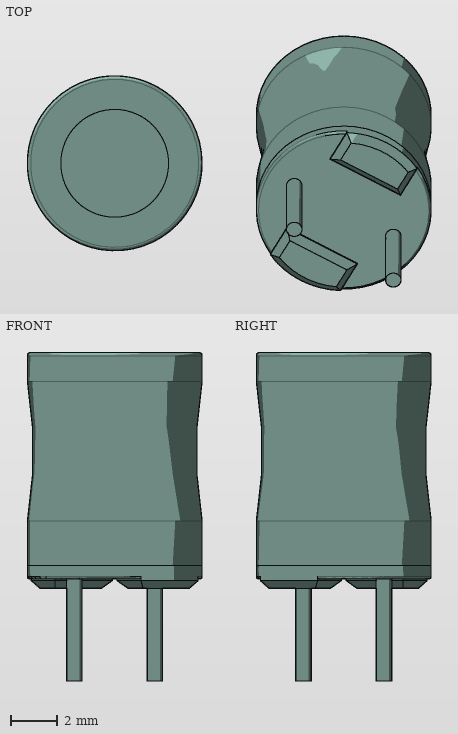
import cadquery as cq
import math


outer_radius = 7.53 / 2
body_height = 10.15
pin_length = 4.0

base_height = 0.98
foot_height = 0.4
disc_fillet = 0.1
foot_width = 3.48
foot_inner_offset = 1.88
foot_chamfer = 0.33
foot_angles = (-45, 135)

pin_radius = 0.335
pin_spacing = 4.9
pin_angles = (45, 225)

sleeve_wall = 0.2
top_band = 1.25
waist_height = 6.0
waist_depth = 0.25
sleeve_fillet = 0.15
window_radius = 2.32

waist_top = body_height - top_band
waist_bottom = waist_top - waist_height
waist_middle = (waist_top + waist_bottom) / 2


def waisted_cylinder(radius, top):
    """Round body from the base up to `top`, drawn in at the waist."""
    return (
        cq.Workplane("XZ")
        .moveTo(0, base_height)
        .lineTo(radius, base_height)
        .lineTo(radius, waist_bottom)
        .threePointArc((radius - waist_depth, waist_middle), (radius, waist_top))
        .lineTo(radius, top)
        .lineTo(0, top)
        .close()
        .revolve(360, (0, 0, 0), (0, 1, 0))
    )


def make_core():
    return waisted_cylinder(outer_radius - sleeve_wall, body_height - sleeve_wall)


def make_sleeve(core):
    """Thin skin around the core, turned in over its top edge and open below."""
    window = cq.Workplane("XY").workplane(offset=base_height).circle(window_radius).extrude(body_height)
    skin = waisted_cylinder(outer_radius, body_height).faces(">Z").edges().fillet(sleeve_fillet)
    return skin.cut(core).cut(window)


def make_foot(angle):
    """Strip of the round base outline, chamfered all around its underside."""
    foot_reach = outer_radius * 2
    strip = (
        cq.Workplane("XY")
        .center(foot_inner_offset + foot_reach / 2, 0)
        .rect(foot_reach, foot_width)
        .extrude(base_height)
        .rotate((0, 0, 0), (0, 0, 1), angle)
    )
    foot = cq.Workplane("XY").circle(outer_radius).extrude(base_height).intersect(strip)
    return foot.faces("<Z").edges().chamfer(foot_chamfer)


def make_pin(angle):
    """Round lead from its free end up through the base to the core."""
    x = pin_spacing / 2 * math.cos(math.radians(angle))
    y = pin_spacing / 2 * math.sin(math.radians(angle))
    return (
        cq.Workplane("XY")
        .workplane(offset=-pin_length)
        .center(x, y)
        .circle(pin_radius)
        .extrude(pin_length + base_height)
    )


def make_base(pins):
    """Disc with two opposite feet and a hole for each pin."""
    disc_height = base_height - foot_height
    disc = cq.Workplane("XY").workplane(offset=foot_height).circle(outer_radius).extrude(disc_height)
    base = disc.faces("<Z").edges().fillet(disc_fillet)
    for angle in foot_angles:
        base = base.union(make_foot(angle))
    for pin in pins:
        base = base.cut(pin)
    return base


core = make_core()
sleeve = make_sleeve(core)
pins = [make_pin(angle) for angle in pin_angles]
base = make_base(pins)

result = cq.Compound.makeCompound([core.val(), sleeve.val(), base.val(), *[pin.val() for pin in pins]])